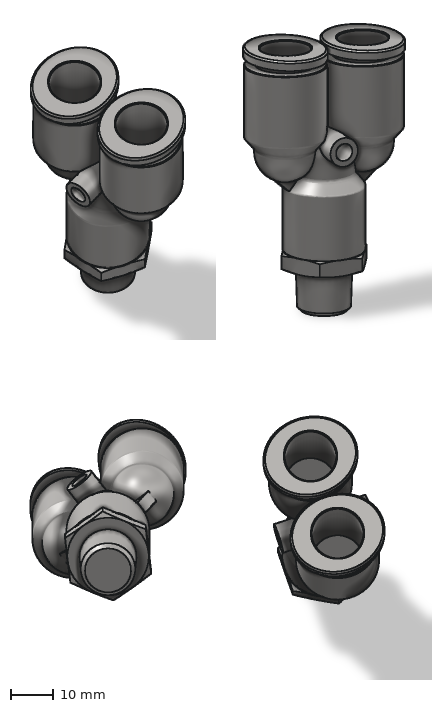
import cadquery as cq
import math

TOTAL_HEIGHT = 65.9
OVERALL_WIDTH = 39.7

BODY_RADIUS = 9.8
SOCKET_X = OVERALL_WIDTH / 2 - BODY_RADIUS
BODY_TOP_Z = 61.8
BODY_BOTTOM_Z = 43.95
BODY_TOP_CHAMFER = 0.2

DOME_RADIUS = 7.45
DOME_CENTRE_Z = 40.45
SHOULDER_Z = 41.2

SHOULDER_ROUND = 0.8
COLUMN_FILLET = 1.3

COLLAR_WIDTH_X = 19.5
COLLAR_WIDTH_Y = 22.55
COLLAR_THICKNESS = 2.3
COLLAR_CHAMFER = 0.45
COLLAR_NECK_RADIUS = 7.2
BORE_RADIUS = 6.05
BORE_CHAMFER = 0.25
BORE_DEPTH = TOTAL_HEIGHT - BODY_BOTTOM_Z

COLUMN_RADIUS = DOME_RADIUS
COLUMN_TOP_Z = 38.0
COLUMN_BASE_Z = 33.9
LOWER_BODY_TOP_Z = 30.85

HEX_TOP_Z = 14.9
HEX_BOTTOM_Z = 10.9
HEX_ACROSS_FLATS = 19.2
HEX_BEVEL_HEIGHT = 0.5
HEX_TOP_BEVEL_HEIGHT = 0.3
STUB_TOP_RADIUS = 6.7
STUB_CHAMFER = 1.0
STUB_TAPER = 1 / 32

TUBE_LENGTH = 22.7
TUBE_Z = 42.0
TUBE_RADIUS = 3.55
TUBE_HOLE_RADIUS = 2.1

WEB_THICKNESS = 3.15
WEB_TOP_Z = 60.0
WEB_TIP_THICKNESS = 1.45
WEB_TIP_Z = BODY_TOP_Z - BODY_TOP_CHAMFER
GUSSET_X = 13.05
GUSSET_Z = 33.75


def revolve_about_z(points):
    """Revolve a closed (radius, z) outline about the Z axis."""
    return cq.Workplane("XZ").polyline(points).close().revolve(360, (0, 0, 0), (0, 1, 0))


def round_rim(solid, rim_z, radius):
    """Round the circular edge centred on the Z axis at height rim_z."""
    rim = cq.selectors.NearestToPointSelector((0, 0, rim_z))
    return solid.edges(rim).fillet(radius)


def socket_body():
    """Round socket body with its conical shoulder and spherical elbow, on the Z axis."""
    shoulder = revolve_about_z([
        (0, DOME_CENTRE_Z),
        (DOME_RADIUS, DOME_CENTRE_Z),
        (DOME_RADIUS, SHOULDER_Z),
        (BODY_RADIUS, BODY_BOTTOM_Z),
        (BODY_RADIUS, BODY_TOP_Z - BODY_TOP_CHAMFER),
        (BODY_RADIUS - BODY_TOP_CHAMFER, BODY_TOP_Z),
        (0, BODY_TOP_Z),
    ])
    shoulder = round_rim(shoulder, BODY_BOTTOM_Z, SHOULDER_ROUND)
    shoulder = round_rim(shoulder, SHOULDER_Z, SHOULDER_ROUND)
    dome = cq.Workplane("XY").sphere(DOME_RADIUS).translate((0, 0, DOME_CENTRE_Z))
    return shoulder.union(dome)


def release_collar():
    """Oval flange and the round neck that carries it, on the Z axis."""
    flange_z = TOTAL_HEIGHT - COLLAR_THICKNESS
    flange = (
        cq.Workplane("XY", origin=(0, 0, flange_z))
        .ellipse(COLLAR_WIDTH_X / 2, COLLAR_WIDTH_Y / 2)
        .extrude(COLLAR_THICKNESS)
        .faces(">Z").edges().chamfer(COLLAR_CHAMFER)
    )
    neck = (
        cq.Workplane("XY", origin=(0, 0, BODY_TOP_Z))
        .circle(COLLAR_NECK_RADIUS)
        .extrude(flange_z - BODY_TOP_Z)
    )
    return flange.union(neck)


def socket_bore():
    """Blind bore with a bevelled mouth, on the Z axis."""
    mouth_radius = BORE_RADIUS + BORE_CHAMFER
    return revolve_about_z([
        (0, TOTAL_HEIGHT - BORE_DEPTH),
        (BORE_RADIUS, TOTAL_HEIGHT - BORE_DEPTH),
        (BORE_RADIUS, TOTAL_HEIGHT - BORE_CHAMFER),
        (mouth_radius, TOTAL_HEIGHT),
        (0, TOTAL_HEIGHT),
    ])


def central_column():
    """Lower body tapering up to a round-topped column."""
    column = revolve_about_z([
        (0, HEX_TOP_Z),
        (BODY_RADIUS, HEX_TOP_Z),
        (BODY_RADIUS, LOWER_BODY_TOP_Z),
        (COLUMN_RADIUS, COLUMN_BASE_Z),
        (COLUMN_RADIUS, COLUMN_TOP_Z),
        (0, COLUMN_TOP_Z),
    ])
    column = round_rim(column, LOWER_BODY_TOP_Z, SHOULDER_ROUND)
    column = round_rim(column, COLUMN_BASE_Z, COLUMN_FILLET)
    cap = cq.Workplane("XY").sphere(COLUMN_RADIUS).translate((0, 0, COLUMN_TOP_Z))
    return column.union(cap)


def hexagon():
    """Hexagon with two corners on the X axis and bevelled corners top and bottom."""
    corner_radius = HEX_ACROSS_FLATS / math.sqrt(3)
    bevel_radius = HEX_ACROSS_FLATS / 2
    prism = (
        cq.Workplane("XY", origin=(0, 0, HEX_BOTTOM_Z))
        .polygon(6, 2 * corner_radius)
        .extrude(HEX_TOP_Z - HEX_BOTTOM_Z)
    )
    bevelled_round = revolve_about_z([
        (0, HEX_BOTTOM_Z),
        (bevel_radius, HEX_BOTTOM_Z),
        (corner_radius, HEX_BOTTOM_Z + HEX_BEVEL_HEIGHT),
        (corner_radius, HEX_TOP_Z - HEX_TOP_BEVEL_HEIGHT),
        (bevel_radius, HEX_TOP_Z),
        (0, HEX_TOP_Z),
    ])
    return prism.intersect(bevelled_round)


def thread_stub():
    """Tapered thread stub with a chamfered lower end."""
    tip_radius = STUB_TOP_RADIUS - STUB_TAPER * (HEX_BOTTOM_Z - STUB_CHAMFER)
    return revolve_about_z([
        (0, 0),
        (tip_radius - STUB_CHAMFER, 0),
        (tip_radius, STUB_CHAMFER),
        (STUB_TOP_RADIUS, HEX_BOTTOM_Z),
        (0, HEX_BOTTOM_Z),
    ])


def web():
    """Flat web in the XZ plane: gussets under the elbows, filling between the sockets."""
    outline = [
        (BODY_RADIUS, LOWER_BODY_TOP_Z),
        (GUSSET_X, GUSSET_Z),
        (SOCKET_X, DOME_CENTRE_Z),
        (SOCKET_X, WEB_TOP_Z),
    ]
    mirrored = [(-x, z) for x, z in reversed(outline)]
    plate = (
        cq.Workplane("XZ")
        .polyline(outline + mirrored)
        .close()
        .extrude(WEB_THICKNESS / 2, both=True)
    )
    tip = (
        cq.Workplane("XY", origin=(0, 0, WEB_TOP_Z))
        .rect(2 * SOCKET_X, WEB_TIP_THICKNESS)
        .extrude(WEB_TIP_Z - WEB_TOP_Z)
    )
    return plate.union(tip)


def mounting_cylinder(radius):
    """Cylinder along Y through the fork, as long as the mounting tube."""
    return (
        cq.Workplane("XZ", origin=(0, 0, TUBE_Z))
        .circle(radius)
        .extrude(TUBE_LENGTH / 2, both=True)
    )


result = central_column().union(hexagon()).union(thread_stub()).union(web())

socket = socket_body().union(release_collar())
for side in (-1, 1):
    result = result.union(socket.translate((side * SOCKET_X, 0, 0)))

result = result.union(mounting_cylinder(TUBE_RADIUS))

bore = socket_bore()
for side in (-1, 1):
    result = result.cut(bore.translate((side * SOCKET_X, 0, 0)))

result = result.cut(mounting_cylinder(TUBE_HOLE_RADIUS))